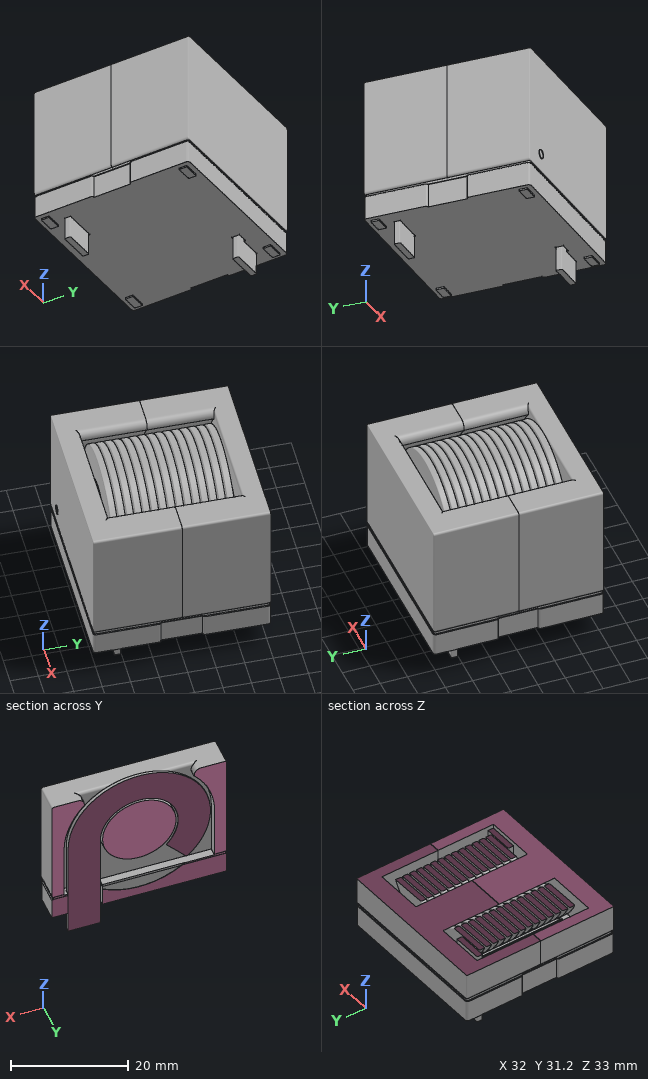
import cadquery as cq
import math

LENGTH_X = 32.0
LENGTH_Y = 31.2
HEIGHT = 33.0

COIL_RADIUS = 13.05
WIRE_WIDTH = 5.97
WIRE_THICKNESS = 1.2
WIRE_EDGE_RADIUS = 0.2
TURNS = 14.5
LEAD_Y = 10.63
AXIS_Z = HEIGHT - COIL_RADIUS
PITCH = 2 * LEAD_Y / TURNS
WIRE_CENTRE_RADIUS = COIL_RADIUS - WIRE_WIDTH / 2

BASE_BOTTOM = 4.3
BASE_TOP = 8.6
CORE_BOTTOM = 9.08
CORE_TOP = 30.92

POST_DIAMETER = 13.5
BORE_RADIUS = 13.7
WINDOW_HALF_X = 10.0
WINDOW_HALF_Y = 11.75
WINDOW_SIDE_RADIUS = 1.32
WINDOW_END_RADIUS = 0.6
CORE_EDGE_RADIUS = 0.45
CORE_RIM_RADIUS = 0.15
DOT_DIAMETER = 1.62
DOT_DEPTH = 0.1
DOT_X = -11.3
DOT_Z = 12.4

SPACER_INSET_X = 0.25
SPACER_INSET_Y = 0.15
SPACER_CORNER_RADIUS = 0.35

BASE_CORNER_RADIUS = 0.53
SIDE_RECESS_WIDTH = 7.33
SIDE_RECESS_DEPTH = 0.43
SIDE_RECESS_EDGE_RADIUS = 0.4
FOOT_X = 13.53
FOOT_Y = 13.85
FOOT_LENGTH = 3.07
FOOT_WIDTH = 1.52
FOOT_HEIGHT = 0.3

COIL_RELIEF_HALF_Y = 10.3
NOTCH_OUTER_X = 8.8
NOTCH_INNER_X = 6.75
NOTCH_END_Y = 11.58


def box(x0, x1, y0, y1, z0, z1):
    """Box between two opposite corners."""
    return cq.Workplane("XY").box(x1 - x0, y1 - y0, z1 - z0, centered=False).translate((x0, y0, z0))


def centred_plate(size_x, size_y, z0, z1, corner_radius):
    """Plate centred on the Z axis, with rounded vertical corners."""
    plate = box(-size_x / 2, size_x / 2, -size_y / 2, size_y / 2, z0, z1)
    return plate.edges("|Z").fillet(corner_radius)


def opposite(body):
    """Copy of a body turned half a turn about Z."""
    return body.rotate((0, 0, 0), (0, 0, 1), 180)


def window_across():
    """Window outline in XZ, run along Y: rounded mouth, round bore, straight walls below the axis."""
    mouth_x = WINDOW_HALF_X + WINDOW_SIDE_RADIUS
    mouth_z = CORE_TOP - WINDOW_SIDE_RADIUS
    offset = WINDOW_SIDE_RADIUS * math.sqrt(0.5)
    bore_angle = math.acos(WINDOW_HALF_X / BORE_RADIUS)
    bore_end_z = AXIS_Z + BORE_RADIUS * math.sin(bore_angle)
    bore_mid = (
        BORE_RADIUS * math.cos(bore_angle / 2),
        AXIS_Z + BORE_RADIUS * math.sin(bore_angle / 2),
    )
    half = (
        cq.Workplane("XZ", origin=(0, LENGTH_Y / 2, 0))
        .moveTo(0, CORE_BOTTOM)
        .lineTo(BORE_RADIUS, CORE_BOTTOM)
        .lineTo(BORE_RADIUS, AXIS_Z)
        .threePointArc(bore_mid, (WINDOW_HALF_X, bore_end_z))
        .lineTo(WINDOW_HALF_X, mouth_z)
        .threePointArc((mouth_x - offset, mouth_z + offset), (mouth_x, CORE_TOP))
        .lineTo(0, CORE_TOP)
        .close()
        .extrude(LENGTH_Y)
    )
    return half.union(half.mirror("YZ"))


def window_along():
    """Window outline in YZ, run along X: straight end walls with a rounded mouth."""
    mouth_y = WINDOW_HALF_Y + WINDOW_END_RADIUS
    mouth_z = CORE_TOP - WINDOW_END_RADIUS
    offset = WINDOW_END_RADIUS * math.sqrt(0.5)
    return (
        cq.Workplane("YZ", origin=(-LENGTH_X / 2, 0, 0))
        .moveTo(-WINDOW_HALF_Y, CORE_BOTTOM)
        .lineTo(WINDOW_HALF_Y, CORE_BOTTOM)
        .lineTo(WINDOW_HALF_Y, mouth_z)
        .threePointArc((mouth_y - offset, mouth_z + offset), (mouth_y, CORE_TOP))
        .lineTo(-mouth_y, CORE_TOP)
        .threePointArc((-mouth_y + offset, mouth_z + offset), (-WINDOW_HALF_Y, mouth_z))
        .close()
        .extrude(LENGTH_X)
    )


def full_core():
    block = box(-LENGTH_X / 2, LENGTH_X / 2, -LENGTH_Y / 2, LENGTH_Y / 2, CORE_BOTTOM, CORE_TOP)
    block = block.edges("|Y").fillet(CORE_EDGE_RADIUS)
    block = block.faces("<Y or >Y").edges().fillet(CORE_RIM_RADIUS)
    post = (
        cq.Workplane("XZ", origin=(0, WINDOW_HALF_Y, AXIS_Z))
        .circle(POST_DIAMETER / 2)
        .extrude(2 * WINDOW_HALF_Y)
    )
    return block.cut(window_across().intersect(window_along())).union(post)


def make_core_halves():
    """Front and back halves, meeting in the plane Y = 0; the front one carries the marking dot."""
    core = full_core()
    front_space = box(-LENGTH_X / 2, LENGTH_X / 2, -LENGTH_Y / 2, 0, CORE_BOTTOM, CORE_TOP)
    dot = (
        cq.Workplane("XZ", origin=(DOT_X, -LENGTH_Y / 2 + DOT_DEPTH, DOT_Z))
        .circle(DOT_DIAMETER / 2)
        .extrude(DOT_DEPTH)
    )
    front = core.intersect(front_space).cut(dot)
    back = core.cut(front_space)
    return front, back


def wire_section(side):
    """Rounded wire section, lying level with the coil axis; side is -1 (-X, +Y) or 1 (+X, -Y)."""
    return (
        cq.Workplane("XY", origin=(side * WIRE_CENTRE_RADIUS, -side * LEAD_Y, AXIS_Z))
        .sketch()
        .rect(WIRE_WIDTH, WIRE_THICKNESS)
        .vertices()
        .fillet(WIRE_EDGE_RADIUS)
        .finalize()
    )


def make_coil():
    """Helix from the -X lead up over the top and on to the +X lead, with both leads straight down."""
    helix = cq.Wire.makeHelix(PITCH, PITCH * TURNS, WIRE_CENTRE_RADIUS, lefthand=True)
    helix = helix.rotate(cq.Vector(0, 0, 0), cq.Vector(1, 0, 0), 90)
    helix = helix.rotate(cq.Vector(0, 0, 0), cq.Vector(0, 1, 0), 180)
    helix = helix.translate(cq.Vector(0, LEAD_Y, AXIS_Z))
    coil = wire_section(-1).sweep(cq.Workplane(helix), isFrenet=True)
    for side in (-1, 1):
        coil = coil.union(wire_section(side).extrude(-AXIS_Z))
    return coil


def coil_clearance():
    """Round relief under the turns, and a slot with an inner notch for each lead."""
    relief = (
        cq.Workplane("XZ", origin=(0, COIL_RELIEF_HALF_Y, AXIS_Z))
        .circle(BORE_RADIUS)
        .extrude(2 * COIL_RELIEF_HALF_Y)
    )
    slot_start = LEAD_Y - WIRE_THICKNESS / 2
    slot_end = LEAD_Y + WIRE_THICKNESS / 2
    slot = box(-COIL_RADIUS, WIRE_WIDTH - COIL_RADIUS, slot_start, slot_end, 0, AXIS_Z)
    notch = box(-NOTCH_OUTER_X, -NOTCH_INNER_X, slot_start, NOTCH_END_Y, 0, AXIS_Z)
    lead_slot = slot.union(notch)
    return relief.union(lead_slot).union(opposite(lead_slot))


def make_spacer():
    size_x = LENGTH_X - 2 * SPACER_INSET_X
    size_y = LENGTH_Y - 2 * SPACER_INSET_Y
    plate = centred_plate(size_x, size_y, BASE_TOP, CORE_BOTTOM, SPACER_CORNER_RADIUS)
    return plate.cut(coil_clearance())


def make_base():
    """Base block with a shallow recess in each X side and four small feet."""
    block = centred_plate(LENGTH_X, LENGTH_Y, BASE_BOTTOM, BASE_TOP, BASE_CORNER_RADIUS)
    half_recess = SIDE_RECESS_WIDTH / 2
    recess_floor = LENGTH_X / 2 - SIDE_RECESS_DEPTH
    recess = box(recess_floor, LENGTH_X / 2, -half_recess, half_recess, BASE_BOTTOM, BASE_TOP)
    block = block.cut(recess).cut(opposite(recess))
    recess_corners = cq.selectors.BoxSelector(
        (-LENGTH_X, -half_recess - SIDE_RECESS_EDGE_RADIUS, 0),
        (LENGTH_X, half_recess + SIDE_RECESS_EDGE_RADIUS, HEIGHT),
    )
    block = block.edges("|Z").edges("<X or >X").edges(recess_corners).fillet(SIDE_RECESS_EDGE_RADIUS)
    block = block.cut(coil_clearance())
    for sx in (-1, 1):
        for sy in (-1, 1):
            foot = cq.Workplane("XY").box(
                FOOT_LENGTH, FOOT_WIDTH, FOOT_HEIGHT, centered=(True, True, False)
            ).translate((sx * FOOT_X, sy * FOOT_Y, BASE_BOTTOM - FOOT_HEIGHT))
            block = block.union(foot)
    return block


core_front, core_back = make_core_halves()
coil = make_coil()
spacer = make_spacer()
base = make_base()

result = cq.Compound.makeCompound(
    [core_front.val(), core_back.val(), coil.val(), spacer.val(), base.val()]
)